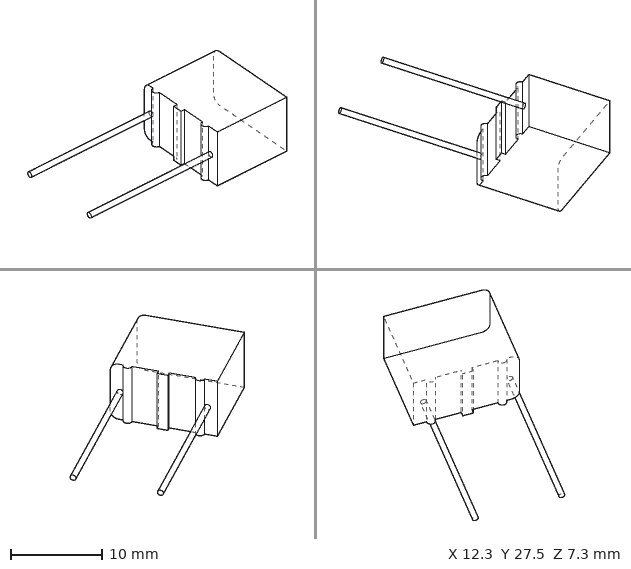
import cadquery as cq

case_width = 12.3
case_height = 7.3
total_length = 27.5
case_depth = 10.0
edge_radius = 1.0

lead_diameter = 0.7
lead_pitch = 10.0
lead_length = total_length - case_depth

rib_height = 0.5
flat_rib_width = 1.25
round_rib_width = 1.05
round_rib_offset = (lead_pitch - lead_diameter - round_rib_width) / 2


def make_block():
    """Rectangular block with rounded upper and lower edges on its -X side."""
    block = cq.Workplane("XY").box(case_width, case_depth, case_height)
    block = block.translate((0, case_depth / 2, 0))
    return block.edges("<X and |Y").fillet(edge_radius)


def make_flat_rib():
    """Rectangular rib at mid-width."""
    rib = cq.Workplane("XY").box(flat_rib_width, rib_height, case_height)
    return rib.translate((0, -rib_height / 2, 0))


def make_round_rib(x):
    """Rib centred on x, with an arc section that bulges toward -Y."""
    return (
        cq.Workplane("XY", origin=(x, 0, -case_height / 2))
        .moveTo(-round_rib_width / 2, 0)
        .threePointArc((0, -rib_height), (round_rib_width / 2, 0))
        .close()
        .extrude(case_height)
    )


def make_case():
    """Block with a flat middle rib and two round outer ribs."""
    case = make_block().union(make_flat_rib())
    for side in (-1, 1):
        case = case.union(make_round_rib(side * round_rib_offset))
    return case


def make_lead(x):
    """Round wire at x, running from the lead-side face toward -Y."""
    return cq.Workplane("XZ", origin=(x, 0, 0)).circle(lead_diameter / 2).extrude(lead_length)


case = make_case()
leads = [make_lead(side * lead_pitch / 2) for side in (-1, 1)]

result = cq.Compound.makeCompound([case.solids().val(), *[lead.val() for lead in leads]])